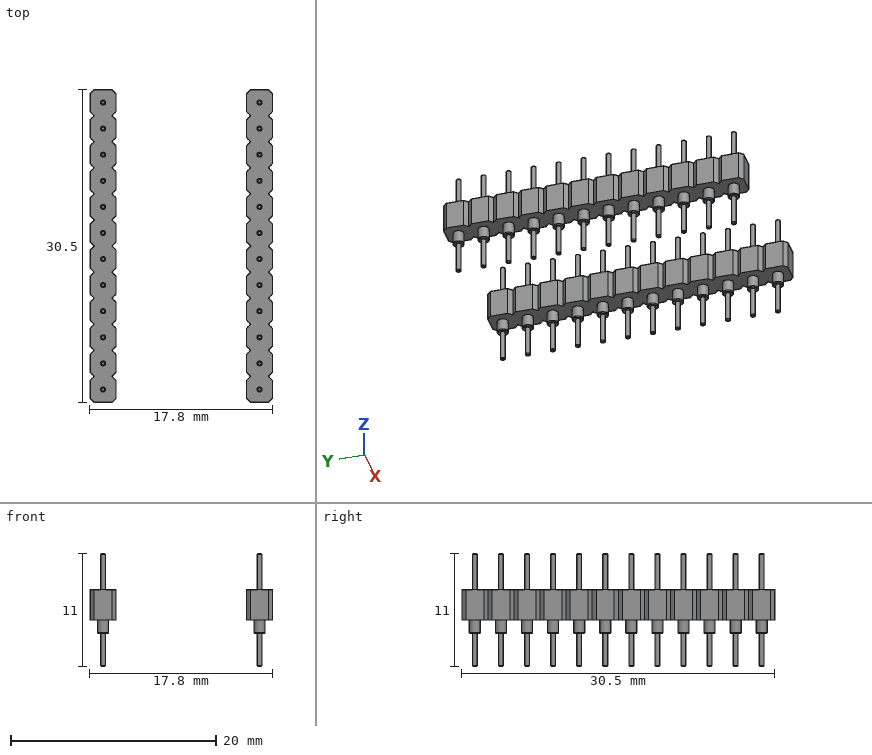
import cadquery as cq

strip_length = 30.48
pins_per_strip = 12
pitch = strip_length / pins_per_strip
strip_count = 2
strip_spacing = 6 * pitch

block_height = 3.0
cell_chamfer = 0.4

pin_diameter = 0.5
pin_length_above = 3.5
pin_length_below_collar = 3.2
collar_diameter = 1.1
collar_height = 1.3
edge_chamfer = 0.1

collar_bottom = -collar_height
pin_bottom = collar_bottom - pin_length_below_collar
pin_length = pin_length_below_collar + collar_height + block_height + pin_length_above


def centred_positions(count, spacing):
    """Evenly spaced coordinates, symmetric about zero."""
    return [(index - (count - 1) / 2) * spacing for index in range(count)]


def make_cell():
    """Square block cell with chamfered vertical corners, which form the notches between cells."""
    return (
        cq.Workplane("XY")
        .box(pitch, pitch, block_height, centered=(True, True, False))
        .edges("|Z")
        .chamfer(cell_chamfer)
    )


def make_pin():
    """Straight pin with chamfered tips and a collar chamfered at its lower rim."""
    shank = (
        cq.Workplane("XY", origin=(0, 0, pin_bottom))
        .circle(pin_diameter / 2)
        .extrude(pin_length)
        .faces("<Z or >Z")
        .chamfer(edge_chamfer)
    )
    collar = (
        cq.Workplane("XY", origin=(0, 0, collar_bottom))
        .circle(collar_diameter / 2)
        .extrude(collar_height)
        .faces("<Z")
        .chamfer(edge_chamfer)
    )
    return shank.union(collar)


def make_header_strip(x_position):
    """One pin header: the row of cells and its pins as a single solid."""
    cell_with_pin = make_cell().union(make_pin())
    strip = cq.Workplane("XY")
    for y_position in centred_positions(pins_per_strip, pitch):
        strip = strip.union(cell_with_pin.translate((x_position, y_position, 0)))
    return strip.clean().solids().val()


header_strips = [make_header_strip(x) for x in centred_positions(strip_count, strip_spacing)]

result = cq.Compound.makeCompound(header_strips)